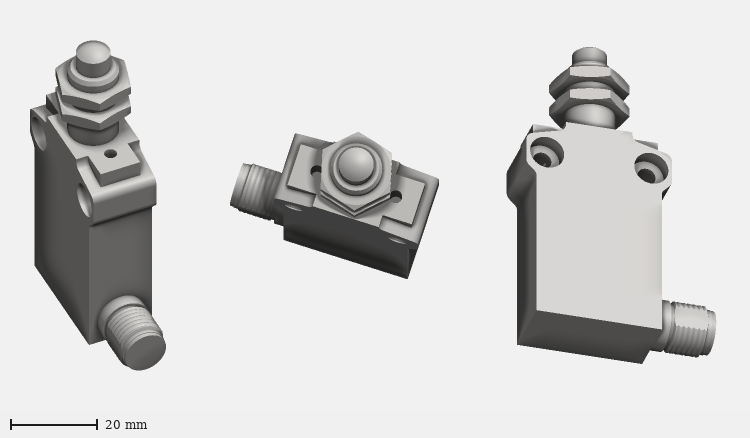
import cadquery as cq
import math

BODY_WIDTH = 30.0
BODY_DEPTH = 16.0
BODY_HEIGHT = 51.95
EAR_WIDTH = 35.0
EAR_BOTTOM_Z = 39.5
EAR_TOP_Z = 47.25
EAR_TOP_SLOPE = 15
EAR_BOTTOM_SLOPE = 45
EAR_RADIUS = 2.0
NECK_WIDTH = 16.0
TOP_BLOCK_DEPTH = 10

MOUNT_SPACING = 25.0
MOUNT_Z = 43.0
MOUNT_DIAMETER = 4.4
COUNTERBORE_DIAMETER = 8.2
COUNTERBORE_DEPTH = 4.0
PIN_HOLE_SPACING = 19.1
PIN_HOLE_DIAMETER = 3.0
PIN_HOLE_DEPTH = 7.7

BUSHING_DIAMETER = 12.0
BUSHING_TOP_Z = 71.25
BUSHING_TOP_DIAMETER = 10.6
BUSHING_CHAMFER_HEIGHT = 0.9
BUSHING_FOOT_DIAMETER = 12.65
BUSHING_FOOT_DEPTH = 1.0

PLUNGER_DIAMETER = 8.0
PLUNGER_TOP_Z = 77.2
PLUNGER_DOME_HEIGHT = 1.55

NUT_ACROSS_FLATS = 16.05
NUT_THICKNESS = 3.0
NUT_CORNER_ANGLE = 45
NUT_CHAMFER_ANGLE = 20
NUT_BOTTOMS_Z = (59.2, 65.2)

CONNECTOR_Z = 6.0
CONNECTOR_COLLAR_DIAMETER = 12.0
CONNECTOR_NECK_DIAMETER = 10.6
CONNECTOR_TIP_DIAMETER = 10.3
COLLAR_END_X = 18.0
THREAD_START_X = 18.9
THREAD_END_X = 27
NECK_END_X = 27.95
TIP_END_X = 28.95
THREAD_DIAMETER = 12.0
THREAD_CHAMFER_LENGTH = 0.4
THREAD_PITCH = 1.2
GROOVE_COUNT = 6
GROOVE_DEPTH = 0.2
GROOVE_WIDTH = 0.7
FLAT_SPACING = 10.6


def cylinder(diameter, bottom_z, height):
    """Upright cylinder on the Z axis."""
    return cq.Workplane("XY").workplane(offset=bottom_z).circle(diameter / 2).extrude(height)


def housing_outline():
    """Outline of the housing in X and Z, its right half mirrored to the left."""
    half_body = BODY_WIDTH / 2
    half_ear = EAR_WIDTH / 2
    half_neck = NECK_WIDTH / 2
    overhang = half_ear - half_body
    ear_foot_z = EAR_BOTTOM_Z - overhang * math.tan(math.radians(EAR_BOTTOM_SLOPE))
    shoulder_z = EAR_TOP_Z + (half_ear - half_neck) * math.tan(math.radians(EAR_TOP_SLOPE))
    right = [
        (half_body, 0),
        (half_body, ear_foot_z),
        (half_ear, EAR_BOTTOM_Z),
        (half_ear, EAR_TOP_Z),
        (half_neck, shoulder_z),
        (half_neck, BODY_HEIGHT),
    ]
    left = [(-x, z) for x, z in reversed(right)]
    return right + left


def make_housing():
    half_depth = BODY_DEPTH / 2
    back = cq.Workplane("XZ", origin=(0, half_depth, 0))
    housing = back.polyline(housing_outline()).close().extrude(BODY_DEPTH)

    housing = housing.edges("|Y and (not <Z) and (not >Z)").fillet(EAR_RADIUS)

    block_height = BODY_HEIGHT - EAR_BOTTOM_Z
    block_base = cq.Workplane("XY", origin=(0, 0, EAR_BOTTOM_Z))
    block = block_base.rect(BODY_WIDTH, TOP_BLOCK_DEPTH).extrude(block_height)
    housing = housing.union(block)

    for side in (-1, 1):
        front = cq.Workplane("XZ", origin=(side * MOUNT_SPACING / 2, -half_depth, MOUNT_Z))
        through = front.circle(MOUNT_DIAMETER / 2).extrude(-BODY_DEPTH)
        counterbore = front.circle(COUNTERBORE_DIAMETER / 2).extrude(-COUNTERBORE_DEPTH)
        housing = housing.cut(through).cut(counterbore)

    pin_hole = cylinder(PIN_HOLE_DIAMETER, BODY_HEIGHT - PIN_HOLE_DEPTH, PIN_HOLE_DEPTH)
    for side in (-1, 1):
        housing = housing.cut(pin_hole.translate((side * PIN_HOLE_SPACING / 2, 0, 0)))

    foot_recess = cylinder(BUSHING_FOOT_DIAMETER, BODY_HEIGHT - BUSHING_FOOT_DEPTH, BUSHING_FOOT_DEPTH)
    return housing.cut(foot_recess)


def make_bushing():
    """Round post with a flush foot in the housing and a chamfered top."""
    foot_radius = BUSHING_FOOT_DIAMETER / 2
    radius = BUSHING_DIAMETER / 2
    profile = [
        (0, BODY_HEIGHT - BUSHING_FOOT_DEPTH),
        (foot_radius, BODY_HEIGHT - BUSHING_FOOT_DEPTH),
        (foot_radius, BODY_HEIGHT),
        (radius, BODY_HEIGHT),
        (radius, BUSHING_TOP_Z - BUSHING_CHAMFER_HEIGHT),
        (BUSHING_TOP_DIAMETER / 2, BUSHING_TOP_Z),
        (0, BUSHING_TOP_Z),
    ]
    return cq.Workplane("XZ").polyline(profile).close().revolve(360, (0, 0), (0, 1))


def make_plunger():
    """Round pin with a spherical dome, standing on the bushing."""
    radius = PLUNGER_DIAMETER / 2
    dome_bottom_z = PLUNGER_TOP_Z - PLUNGER_DOME_HEIGHT
    sphere_radius = (radius**2 + PLUNGER_DOME_HEIGHT**2) / (2 * PLUNGER_DOME_HEIGHT)
    half_angle = math.asin(radius / sphere_radius) / 2
    dome_middle = (
        sphere_radius * math.sin(half_angle),
        PLUNGER_TOP_Z - sphere_radius * (1 - math.cos(half_angle)),
    )
    return (
        cq.Workplane("XZ")
        .moveTo(0, BUSHING_TOP_Z)
        .lineTo(radius, BUSHING_TOP_Z)
        .lineTo(radius, dome_bottom_z)
        .threePointArc(dome_middle, (0, PLUNGER_TOP_Z))
        .close()
        .revolve(360, (0, 0), (0, 1))
    )


def make_nut(bottom_z):
    """Hexagon nut with its corners chamfered on both faces."""
    corner_radius = NUT_ACROSS_FLATS / math.sqrt(3)
    face_radius = NUT_ACROSS_FLATS / 2
    chamfer_height = (corner_radius - face_radius) * math.tan(math.radians(NUT_CHAMFER_ANGLE))
    hexagon = (
        cq.Workplane("XY")
        .polygon(6, 2 * corner_radius)
        .extrude(NUT_THICKNESS)
        .rotate((0, 0, 0), (0, 0, 1), NUT_CORNER_ANGLE)
    )
    envelope_profile = [
        (0, 0),
        (face_radius, 0),
        (corner_radius, chamfer_height),
        (corner_radius, NUT_THICKNESS - chamfer_height),
        (face_radius, NUT_THICKNESS),
        (0, NUT_THICKNESS),
    ]
    envelope = cq.Workplane("XZ").polyline(envelope_profile).close().revolve(360, (0, 0), (0, 1))
    bore = cylinder(BUSHING_DIAMETER, 0, NUT_THICKNESS)
    return hexagon.intersect(envelope).cut(bore).translate((0, 0, bottom_z))


def thread_profile():
    """Points along the threaded stretch as (x, radius): chamfered ends and V grooves."""
    crest_radius = THREAD_DIAMETER / 2
    neck_radius = CONNECTOR_NECK_DIAMETER / 2
    middle_x = (THREAD_START_X + THREAD_END_X) / 2
    first_groove_x = middle_x - THREAD_PITCH * (GROOVE_COUNT - 1) / 2
    points = [(THREAD_START_X, neck_radius), (THREAD_START_X + THREAD_CHAMFER_LENGTH, crest_radius)]
    for index in range(GROOVE_COUNT):
        groove_x = first_groove_x + index * THREAD_PITCH
        points += [
            (groove_x - GROOVE_WIDTH / 2, crest_radius),
            (groove_x, crest_radius - GROOVE_DEPTH),
            (groove_x + GROOVE_WIDTH / 2, crest_radius),
        ]
    return points + [(THREAD_END_X - THREAD_CHAMFER_LENGTH, crest_radius), (THREAD_END_X, neck_radius)]


def make_connector():
    """Turned connector with a collar, a grooved thread with two flats, and a stepped tip."""
    base_x = BODY_WIDTH / 2
    collar_radius = CONNECTOR_COLLAR_DIAMETER / 2
    neck_radius = CONNECTOR_NECK_DIAMETER / 2
    tip_radius = CONNECTOR_TIP_DIAMETER / 2
    profile = [
        (base_x, 0),
        (base_x, collar_radius),
        (COLLAR_END_X, collar_radius),
        (COLLAR_END_X, neck_radius),
        *thread_profile(),
        (NECK_END_X, neck_radius),
        (NECK_END_X, tip_radius),
        (TIP_END_X, tip_radius),
        (TIP_END_X, 0),
    ]
    turned = cq.Workplane("XY").polyline(profile).close().revolve(360, (0, 0), (1, 0))

    thread_length = THREAD_END_X - THREAD_START_X
    for side in (-1, 1):
        offset_y = side * (FLAT_SPACING + THREAD_DIAMETER) / 2
        thread_middle = ((THREAD_START_X + THREAD_END_X) / 2, offset_y, 0)
        cutter = cq.Workplane("XY", origin=thread_middle).box(thread_length, THREAD_DIAMETER, THREAD_DIAMETER)
        turned = turned.cut(cutter)
    return turned.translate((0, 0, CONNECTOR_Z))


housing = make_housing()
bushing = make_bushing()
plunger = make_plunger()
nuts = [make_nut(bottom_z) for bottom_z in NUT_BOTTOMS_Z]
connector = make_connector()

result = cq.Compound.makeCompound(
    [housing.val(), bushing.val(), plunger.val(), *[nut.val() for nut in nuts], connector.val()]
)